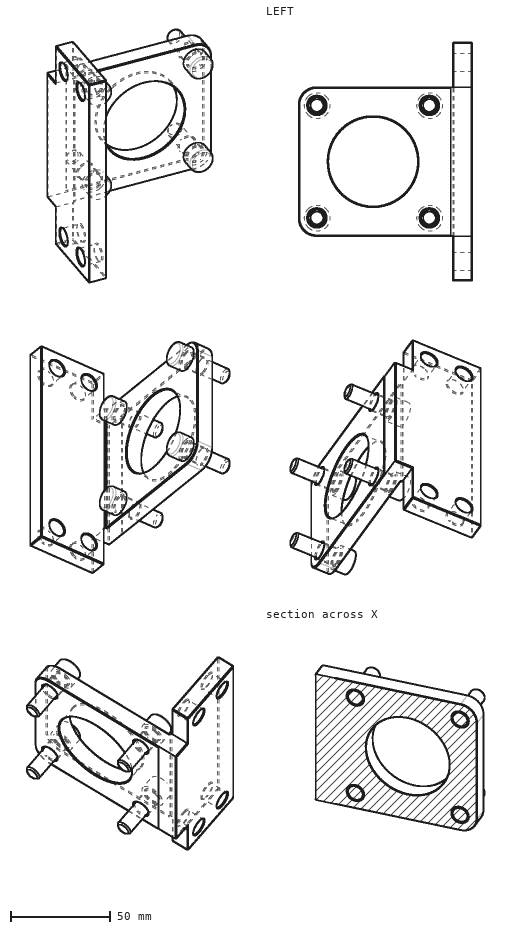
import cadquery as cq
import math

edge_break = 0.5

foot_length = 120.0
foot_right = 50.0
foot_thickness = 10.0
foot_hole_diameter = 9.0
foot_hole_margin = 10.0
foot_hole_pitch = 20.0

plate_height = 75.0
plate_reach = 87.5
plate_thickness = 9.8
corner_radius = 9.0
bore_diameter = 45.0
bore_y = plate_reach - plate_height / 2

corner_left = edge_break
corner_right = corner_left + foot_thickness
corner_step = 1.0
corner_top = foot_thickness + corner_step

screw_circle_diameter = 80.0
screw_offset = screw_circle_diameter / 2 * math.sin(math.radians(45))
screw_hole_diameter = 9.0
screw_diameter = 8.0
screw_protrusion = 15.1
screw_tip_chamfer = 0.8
head_diameter = 13.0
head_height = 8.0
head_edge_radius = 1.0


def box(x_min, x_max, y_min, y_max, height):
    """Box between the given X and Y limits, centred on Z = 0."""
    solid = cq.Workplane("XY").box(x_max - x_min, y_max - y_min, height, centered=(False, False, True))
    return solid.translate((x_min, y_min, 0))


def through_hole(diameter, depth):
    """Cutter along +Z from the origin, with a chamfered rim at both ends."""
    radius = diameter / 2
    rim_radius = radius + edge_break
    profile = [
        (0, 0),
        (rim_radius, 0),
        (radius, edge_break),
        (radius, depth - edge_break),
        (rim_radius, depth),
        (0, depth),
    ]
    return cq.Workplane("XZ").polyline(profile).close().revolve(360, (0, 0, 0), (0, 1, 0))


def along_x(solid):
    """Turn a solid built along +Z so that it runs along +X."""
    return solid.rotate((0, 0, 0), (0, 1, 0), 90)


def along_y(solid):
    """Turn a solid built along +Z so that it runs along +Y."""
    return solid.rotate((0, 0, 0), (1, 0, 0), -90)


def make_foot():
    flange = box(corner_right, foot_right, 0, foot_thickness, foot_length).edges().chamfer(edge_break)
    root = box(corner_left, foot_right / 2, 0, foot_thickness, plate_height)
    root = root.faces("<Y").edges().chamfer(edge_break)
    block = box(corner_left, corner_right, foot_thickness / 2, corner_top, plate_height)
    foot = flange.union(root).union(block)

    hole = along_y(through_hole(foot_hole_diameter, foot_thickness))
    hole_z = foot_length / 2 - foot_hole_margin
    outer_hole_x = foot_right - foot_hole_margin
    for x in (outer_hole_x - foot_hole_pitch, outer_hole_x):
        for z in (-hole_z, hole_z):
            foot = foot.cut(hole.translate((x, 0, z)))
    return foot


def make_plate(points):
    plate = box(0, plate_thickness, corner_top, plate_reach, plate_height)
    plate = plate.edges("|X and >Y").fillet(corner_radius)
    plate = plate.faces("|X").edges("not <Y").chamfer(edge_break)

    bore = along_x(through_hole(bore_diameter, plate_thickness))
    plate = plate.cut(bore.translate((0, bore_y, 0)))
    screw_hole = along_x(through_hole(screw_hole_diameter, plate_thickness))
    for y, z in points:
        plate = plate.cut(screw_hole.translate((0, y, z)))
    return plate


def make_screw():
    """Cap screw along X, with its head seated on the right face of the plate."""
    shank_length = screw_protrusion + plate_thickness
    shank = cq.Workplane("XY").circle(screw_diameter / 2).extrude(shank_length)
    shank = shank.faces("<Z").chamfer(screw_tip_chamfer)
    head = cq.Workplane("XY").circle(head_diameter / 2).extrude(head_height)
    head = head.faces(">Z").edges().fillet(head_edge_radius)
    body = shank.union(head.translate((0, 0, shank_length)))
    return along_x(body).translate((-screw_protrusion, 0, 0))


screw_points = [
    (bore_y + side_y * screw_offset, side_z * screw_offset)
    for side_y in (-1, 1)
    for side_z in (-1, 1)
]

result = make_foot().union(make_plate(screw_points))
screw = make_screw()
for y, z in screw_points:
    result = result.union(screw.translate((0, y, z)))